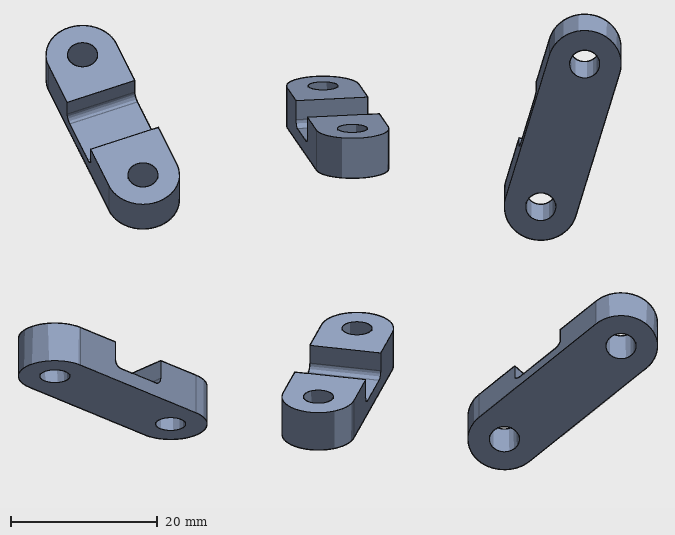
import cadquery as cq

length = 32.0
width = 10.0
height = 5.7

hole_diameter = 4.1
hole_spacing = length - width

channel_width = 8.58
floor_thickness = 2.0
channel_corner_radius = 1.0
channel_depth = height - floor_thickness


def rounded_bar():
    return cq.Workplane("XY").slot2D(length, width).extrude(height)


def channel():
    """Cutter for the cross channel, with rounded lower corners."""
    return (
        cq.Workplane("XY")
        .workplane(offset=floor_thickness)
        .rect(channel_width, width)
        .extrude(channel_depth)
        .edges("|Y and <Z")
        .fillet(channel_corner_radius)
    )


def end_holes():
    """Cutters for the two vertical through holes."""
    return (
        cq.Workplane("XY")
        .pushPoints([(-hole_spacing / 2, 0), (hole_spacing / 2, 0)])
        .circle(hole_diameter / 2)
        .extrude(height)
    )


result = rounded_bar().cut(channel()).cut(end_holes())